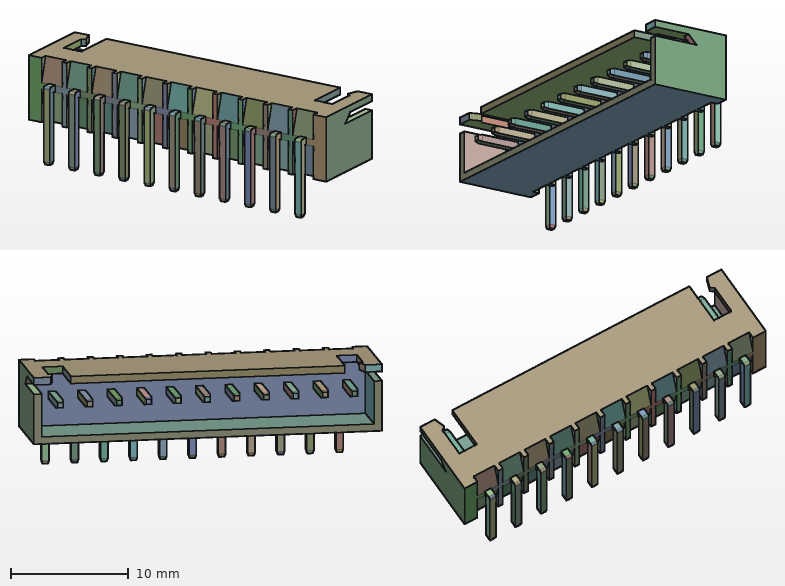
import cadquery as cq


body_length = 30.07
body_depth = 7.22
body_height = 5.8
wall = 0.63
end_wall = 0.7
cavity_depth = 4.2

pin_count = 11
pin_row_length = 25.4
pin_size = 0.63
pin_top_below_roof = 2.2
total_depth = 8.03
total_height = 9.23
pin_end_setback = 0.18
bend_radius = 0.2
tip_inset = 0.1
front_tip_length = 0.35
lower_tip_length = 0.3

recess_width = 2.07
recess_depth = 0.63
upper_recess_height = 2.23
lower_recess_height = 2.98

roof_slot_width = 1.75
roof_slot_depth = 4.0
side_slot_height = 0.8
side_slot_roof_depth = 3.4

catch_reach = 0.33
catch_peak_setback = 1.02
catch_length = 1.25

pin_pitch = pin_row_length / (pin_count - 1)
pin_xs = [i * pin_pitch - pin_row_length / 2 for i in range(pin_count)]
pin_top = body_height - pin_top_below_roof
pin_bottom = pin_top - pin_size
pin_outer_y = body_depth - total_depth
leg_end_z = body_height - total_height
leg_center_y = pin_outer_y + pin_size / 2
pin_center_z = pin_top - pin_size / 2
roof_underside = body_height - wall


def box(x_range, y_range, z_range):
    """Axis-aligned box between the given limits."""
    size = [high - low for low, high in (x_range, y_range, z_range)]
    corner = (x_range[0], y_range[0], z_range[0])
    return cq.Workplane("XY").box(*size, centered=False).translate(corner)


def side_prism(points, center_x, width):
    """Prism along X with the given (y, z) outline, centred on center_x."""
    start = center_x - width / 2
    return cq.Workplane("YZ").workplane(offset=start).polyline(points).close().extrude(width)


def make_housing():
    """Box with a cavity that opens at the +Y face."""
    inner_x = body_length / 2 - end_wall
    housing = box((-body_length / 2, body_length / 2), (0, body_depth), (0, body_height))
    cavity = box((-inner_x, inner_x), (body_depth - cavity_depth, body_depth), (wall, roof_underside))
    return housing.cut(cavity)


def make_recesses(x):
    """Wedges cut into the -Y face, deepest at the roof and at the bottom."""
    upper = [(0, body_height - upper_recess_height), (0, body_height), (recess_depth, body_height)]
    lower = [(0, lower_recess_height), (0, 0), (recess_depth, 0)]
    return side_prism(upper, x, recess_width).union(side_prism(lower, x, recess_width))


def make_side_slot():
    """Slot through both end walls under the latch arms, with a 45 degree inner end."""
    roof_end_y = body_depth - side_slot_roof_depth
    slot_floor = roof_underside - side_slot_height
    outline = [
        (body_depth, roof_underside),
        (roof_end_y, roof_underside),
        (roof_end_y - side_slot_height, slot_floor),
        (body_depth, slot_floor),
    ]
    return side_prism(outline, 0, body_length)


def make_roof_slot(end):
    """Roof opening over an end pin; end is -1 or 1. The catch is left standing on its outer side."""
    outer_x = end * (pin_row_length + roof_slot_width) / 2
    inner_x = outer_x - end * roof_slot_width
    slot_end_y = body_depth - roof_slot_depth
    outline = [
        (inner_x, slot_end_y),
        (outer_x, slot_end_y),
        (outer_x, body_depth - catch_length),
        (outer_x - end * catch_reach, body_depth - catch_peak_setback),
        (outer_x, body_depth),
        (inner_x, body_depth),
    ]
    return cq.Workplane("XY").workplane(offset=roof_underside).polyline(outline).close().extrude(wall)


def make_tip(plane, length):
    """Tapered pin tip that grows along the normal of the plane."""
    tip_size = pin_size - 2 * tip_inset
    base = cq.Workplane(plane).rect(pin_size, pin_size)
    return base.workplane(offset=length).rect(tip_size, tip_size).loft(ruled=True)


def make_pin(x):
    """L-shaped square pin with a rounded outer bend and two tapered tips."""
    half = pin_size / 2
    contact_end_y = body_depth - pin_end_setback - front_tip_length
    leg_shoulder_z = leg_end_z + lower_tip_length
    outline = [
        (contact_end_y, pin_top),
        (pin_outer_y, pin_top),
        (pin_outer_y, leg_shoulder_z),
        (leg_center_y + half, leg_shoulder_z),
        (leg_center_y + half, pin_bottom),
        (contact_end_y, pin_bottom),
    ]
    contact_plane = cq.Plane((x, contact_end_y, pin_center_z), (1, 0, 0), (0, 1, 0))
    leg_plane = cq.Plane((x, leg_center_y, leg_shoulder_z), (1, 0, 0), (0, 0, -1))
    pin = side_prism(outline, x, pin_size).edges("|X and >Z and <Y").fillet(bend_radius)
    pin = pin.union(make_tip(contact_plane, front_tip_length))
    return pin.union(make_tip(leg_plane, lower_tip_length))


result = make_housing().cut(make_side_slot())
for end in (-1, 1):
    result = result.cut(make_roof_slot(end))
for pin_x in pin_xs:
    result = result.cut(make_recesses(pin_x))
    result = result.union(make_pin(pin_x))